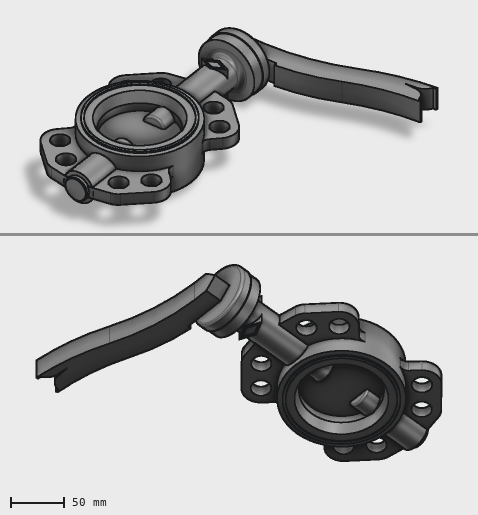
import cadquery as cq
import math


BARREL_R = 60.0
BARREL_HALF_H = 23.5
RIM_OUTER_R = 55.0
RIM_INNER_R = 52.0
RIM_HALF_H = 25.5
SEAT_DEPTH = 1.3
BORE_MOUTH_R = 43.8
DISC_R = 39.5
DISC_HALF_T = 3.5
DISC_BAND_HALF_H = 12.5
HUB_R = 13.0
HUB_INNER_Y = 21.0
HUB_FILLET = 2.2

LUG_HALF_T = 6.5
LUG_END_R = 18.0
LUG_END_XY = 53.0
LUG_CORNER = (79.3, 53.5)
LUG_SHOULDER = (39.0, 91.0)
LUG_SHOULDER_FILLET = 16.8
LUG_APEX_Y = 98.3
LUG_ROOT_FILLET = 8.0
BOLT_HOLE_R = 9.5
INNER_BOLT_CIRCLE_R = LUG_END_XY * math.sqrt(2)
OUTER_BOLT_CIRCLE_R = 80.0
INNER_BOLT_ANGLE = 45.0
OUTER_BOLT_ANGLE = 67.5

STEM_R = 17.0
STEM_BOTTOM_Y = -95.2
PLUG_R = 12.7
PLUG_LENGTH = 4.8
PLUG_CHAMFER = 1.0
FLANGE_BOTTOM_Y = 134.8
FLANGE_R = 65.0 / 2
NECK_FILLET = 6.0
PLATE_BOTTOM_Y = 147.2
PLATE_TOP_Y = 158.5
PLATE_R = 67.0 / 2
PLATE_FILLET = 3.0
BADGE_Y = 116.5
BADGE_HALF_W = 15.2
BADGE_HALF_L = 7.0
BADGE_HALF_H = 18.0
BADGE_RECESS_HALF_W = 11.0
BADGE_RECESS_HALF_L = 5.0
BADGE_RECESS_DEPTH = 1.0

LEVER_W = 24.0
LEVER_TIP_X = -16.0
LEVER_TOP_Y = 177.0
LEVER_STEP_X = 40.3
LEVER_STEP_Y = 155.0
LEVER_END_X = 183.7
LEVER_BEND_X = 106.3
LOWER_ARC_MID = (74.5, 161.0)
LOWER_BEND = (LEVER_BEND_X, 172.0)
LOWER_GRIP_MID = (144.3, 184.3)
LOWER_TIP_Y = 190.3
UPPER_ARC_START_X = 12.7
UPPER_ARC_MID = (62.0, 183.0)
UPPER_BEND = (LEVER_BEND_X, 197.3)
UPPER_GRIP_MID = (144.3, 210.3)
UPPER_TIP_Y = 217.3
NOTCH_EDGE_X = 180.2
LEVER_TIP_T = 2.2
LOWER_LOBE_START = (NOTCH_EDGE_X, LOWER_TIP_Y + LEVER_TIP_T)
LOWER_LOBE_MID = (176.7, 200.5)
LOWER_LOBE_END = (166.5, 204.0)
SLIT_END = (156.0, 204.5)
UPPER_LOBE_START = (167.5, 206.0)
UPPER_LOBE_MID = (175.7, 209.5)
UPPER_LOBE_END = (NOTCH_EDGE_X, UPPER_TIP_Y - LEVER_TIP_T)


def y_cylinder(radius, y_start, y_end):
    """Cylinder along Y, centred on the stem axis."""
    return cq.Workplane("XZ", origin=(0, y_start, 0)).circle(radius).extrude(y_start - y_end)


def z_cylinder(radius, half_height):
    """Cylinder along the flow axis, symmetric about the XY plane."""
    return cq.Workplane("XY", origin=(0, 0, -half_height)).circle(radius).extrude(2 * half_height)


def fillet_upright_edges(body, corner, radius):
    """Fillet the upright edges at a corner point and at its mirror points in all four quadrants."""
    x, y = corner
    for x_side in (1, -1):
        for y_side in (1, -1):
            at_corner = cq.selectors.NearestToPointSelector((x_side * x, y_side * y, 0))
            body = body.edges("|Z").edges(at_corner).fillet(radius)
    return body


def lug_root_corner():
    """Point where the 45 degree lower flank of a lug meets the barrel."""
    flank_offset = LUG_CORNER[0] - LUG_CORNER[1]
    y = (math.sqrt(2 * BARREL_R**2 - flank_offset**2) - flank_offset) / 2
    return (y + flank_offset, y)


def make_lug_plate():
    """Plate with the four bolt lugs; the lower flanks run inwards at 45 degrees into the barrel."""
    flank_root_x = LUG_CORNER[0] - LUG_CORNER[1]
    upper_right = [(flank_root_x, 0), LUG_CORNER, LUG_SHOULDER, (0, LUG_APEX_Y)]
    upper_left = [(-x, y) for x, y in reversed(upper_right[:-1])]
    upper = upper_right + upper_left
    lower = [(-x, -y) for x, y in upper[1:-1]]
    plate = (
        cq.Workplane("XY", origin=(0, 0, -LUG_HALF_T))
        .polyline(upper + lower)
        .close()
        .extrude(2 * LUG_HALF_T)
    )
    plate = fillet_upright_edges(plate, LUG_CORNER, LUG_END_R)
    return fillet_upright_edges(plate, LUG_SHOULDER, LUG_SHOULDER_FILLET)


def bolt_hole_centres():
    """Two holes in each of the four lugs."""
    bolts = ((INNER_BOLT_CIRCLE_R, INNER_BOLT_ANGLE), (OUTER_BOLT_CIRCLE_R, OUTER_BOLT_ANGLE))
    centres = []
    for radius, angle in bolts:
        x = radius * math.cos(math.radians(angle))
        y = radius * math.sin(math.radians(angle))
        centres += [(x, y), (-x, y), (x, -y), (-x, -y)]
    return centres


def diamond_prism(half_width, half_length, z_start, z_end):
    """Upright prism on the stem with a diamond outline."""
    corners = [(half_width, 0), (0, half_length), (-half_width, 0), (0, -half_length)]
    outline = cq.Workplane("XY", origin=(0, BADGE_Y, z_start)).polyline(corners).close()
    return outline.extrude(z_end - z_start)


def make_stem():
    """Stem housing through the barrel, its mounting flange, end plug and diamond pads."""
    stem = y_cylinder(STEM_R, STEM_BOTTOM_Y, FLANGE_BOTTOM_Y)
    flange = y_cylinder(FLANGE_R, FLANGE_BOTTOM_Y, PLATE_BOTTOM_Y)
    stem = stem.union(flange)
    smallest_circle = cq.selectors.RadiusNthSelector(0)
    at_flange = cq.selectors.BoxSelector(
        (-FLANGE_R, FLANGE_BOTTOM_Y - NECK_FILLET, -FLANGE_R),
        (FLANGE_R, FLANGE_BOTTOM_Y + NECK_FILLET, FLANGE_R),
    )
    stem = stem.edges(at_flange).edges("%CIRCLE").edges(smallest_circle).fillet(NECK_FILLET)
    plate = y_cylinder(PLATE_R, PLATE_BOTTOM_Y, PLATE_TOP_Y).faces(">Y").edges().fillet(PLATE_FILLET)
    plug = y_cylinder(PLUG_R, STEM_BOTTOM_Y - PLUG_LENGTH, STEM_BOTTOM_Y)
    plug = plug.faces("<Y").edges().chamfer(PLUG_CHAMFER)
    stem = stem.union(plate).union(plug)
    stem = stem.union(diamond_prism(BADGE_HALF_W, BADGE_HALF_L, -BADGE_HALF_H, BADGE_HALF_H))
    recess = diamond_prism(
        BADGE_RECESS_HALF_W, BADGE_RECESS_HALF_L, BADGE_HALF_H - BADGE_RECESS_DEPTH, BADGE_HALF_H
    )
    return stem.cut(recess).cut(recess.mirror("XY"))


def make_bore_cut():
    """Space above and below the disc: seat recess, cone and straight bore, turned about Z."""
    seat_z = RIM_HALF_H - SEAT_DEPTH
    upper = (
        cq.Workplane("XZ")
        .moveTo(0, DISC_HALF_T)
        .lineTo(DISC_R, DISC_HALF_T)
        .lineTo(DISC_R, DISC_BAND_HALF_H)
        .lineTo(BORE_MOUTH_R, seat_z)
        .lineTo(RIM_INNER_R, seat_z)
        .lineTo(RIM_INNER_R, RIM_HALF_H)
        .lineTo(0, RIM_HALF_H)
        .close()
        .revolve(360, (0, 0, 0), (0, 1, 0))
    )
    return upper.union(upper.mirror("XY"))


def make_hub(side):
    """Shaft hub on the disc, running into the bore wall."""
    hub = y_cylinder(HUB_R, HUB_INNER_Y, RIM_INNER_R).faces("<Y").edges().fillet(HUB_FILLET)
    return hub if side > 0 else hub.mirror("XZ")


def make_valve():
    barrel = z_cylinder(BARREL_R, BARREL_HALF_H).union(z_cylinder(RIM_OUTER_R, RIM_HALF_H))
    body = fillet_upright_edges(barrel.union(make_lug_plate()), lug_root_corner(), LUG_ROOT_FILLET)
    valve = body.union(make_stem())
    bolt_holes = (
        cq.Workplane("XY", origin=(0, 0, -LUG_HALF_T))
        .pushPoints(bolt_hole_centres())
        .circle(BOLT_HOLE_R)
        .extrude(2 * LUG_HALF_T)
    )
    valve = valve.cut(bolt_holes).cut(make_bore_cut())
    for side in (1, -1):
        valve = valve.union(make_hub(side))
    return valve


def make_lever():
    """Curved bar lying on the plate, pointed at the stem end and notched at the free end."""
    half_w = LEVER_W / 2
    bar = (
        cq.Workplane("XY", origin=(0, 0, -half_w))
        .moveTo(LEVER_TIP_X, PLATE_TOP_Y)
        .lineTo(LEVER_STEP_X, PLATE_TOP_Y)
        .lineTo(LEVER_STEP_X, LEVER_STEP_Y)
        .threePointArc(LOWER_ARC_MID, LOWER_BEND)
        .threePointArc(LOWER_GRIP_MID, (LEVER_END_X, LOWER_TIP_Y))
        .lineTo(LEVER_END_X, LOWER_LOBE_START[1])
        .lineTo(*LOWER_LOBE_START)
        .threePointArc(LOWER_LOBE_MID, LOWER_LOBE_END)
        .lineTo(*SLIT_END)
        .lineTo(*UPPER_LOBE_START)
        .threePointArc(UPPER_LOBE_MID, UPPER_LOBE_END)
        .lineTo(LEVER_END_X, UPPER_LOBE_END[1])
        .lineTo(LEVER_END_X, UPPER_TIP_Y)
        .threePointArc(UPPER_GRIP_MID, UPPER_BEND)
        .threePointArc(UPPER_ARC_MID, (UPPER_ARC_START_X, LEVER_TOP_Y))
        .lineTo(LEVER_TIP_X, LEVER_TOP_Y)
        .close()
        .extrude(LEVER_W)
    )
    point_outline = [
        (LEVER_TIP_X, 0),
        (LEVER_TIP_X + half_w, half_w),
        (LEVER_END_X, half_w),
        (LEVER_END_X, -half_w),
        (LEVER_TIP_X + half_w, -half_w),
    ]
    pointed = cq.Workplane("XZ").polyline(point_outline).close().extrude(-UPPER_TIP_Y)
    return bar.intersect(pointed)


valve = make_valve()
lever = make_lever()

result = cq.Compound.makeCompound([valve.solids().val(), lever.solids().val()])